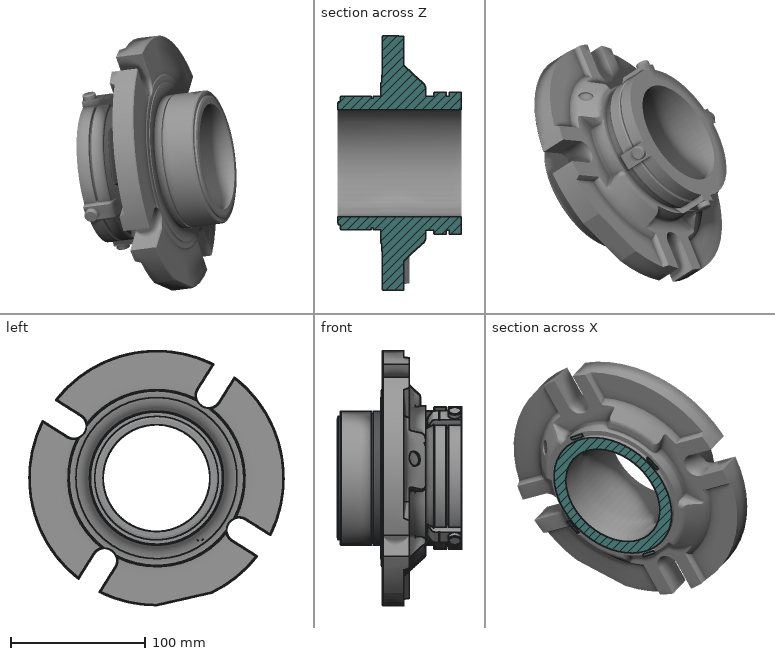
import cadquery as cq
import math

NOSE_START = -33.2
NOSE_SHOULDER = -31.3
NOSE_GROOVE_START = -7.9
NOSE_GROOVE_END = -6.7
SPIGOT_START = -1.1
SPIGOT_STEP = -0.5
FLANGE_BACK = 16.3
PAD_BACK = 20.4
GLAND_BACK = 32.6
FRONT_RING_START = 38.5
RING_GAP_START = 48.1
RING_GAP_END = 49.8
SLEEVE_END = NOSE_START + 92.38

BORE_RADIUS = 79.38 / 2
NOSE_TIP_RADIUS = 92.05 / 2
NOSE_RADIUS = 100 / 2
NOSE_GROOVE_RADIUS = 97.03 / 2
NOSE_NECK_RADIUS = 99.9 / 2
SPIGOT_RADIUS = 120.07 / 2
SPIGOT_STEP_RADIUS = 65
SPIGOT_ROOT_RADIUS = 66
FLANGE_RADIUS = 95
HUB_RADIUS = 54.1
CONE_BASE_RADIUS = 73
CONE_END_RADIUS = 58
SLEEVE_RADIUS = 100.33 / 2
RING_RADIUS = 106.2 / 2
NOSE_CHAMFER = 0.8
NOSE_TIP_BEVEL_LENGTH = 0.5
NOSE_TIP_BEVEL_DEPTH = 2
FLANGE_CHAMFER = 0.7
RING_CHAMFER = 0.7

SLOT_COUNT = 4
SLOT_TURN = 32.2
SLOT_WIDTH = 18.2
SLOT_CENTRE_RADIUS = 72.6
SLOT_CHAMFER = 0.7
CHAMFER_ANGLE = 45
PAD_WIDTH_BACK = 41.6
PAD_WIDTH_BASE = 45.6

LUG_TURN = SLOT_TURN - 180 / SLOT_COUNT
LUG_WIDTH = 43
LUG_END_FILLET = 4
FOOT_FILLET = 1.5
SHORT_LUG_BACK = 28.7
PORT_DIAMETER = 11
PORT_DEPTH = 1.5
PORT_X = 24.3

FLAT_SPAN = 25.7

CLIP_TURNS = (34.8, 139.7, 214.8, 319.7)
CLIP_WIDTH = 12
CLIP_OFFSET = 0.5
CLIP_RADIUS = 57.3
CLIP_SEAT_RADIUS = 49
CLIP_TOE_X = 33
CLIP_TOE_RADIUS = 49.6
CLIP_SHOULDER_X = 38
CLIP_SHOULDER_FILLET = 2
CLIP_GROOVE_X = 42.5
CLIP_GROOVE_WIDTH = 0.8
CLIP_GROOVE_DEPTH = 0.4
SCREW_DIAMETER = 10
SCREW_TOP_RADIUS = 61.3
SCREW_CHAMFER = 0.6

REACH = 2 * FLANGE_RADIUS


def turned(points):
    """Revolve an outline of (x, radius) points about the X axis."""
    return cq.Workplane("XY").polyline(points).close().revolve(360, (0, 0, 0), (1, 0, 0))


def turn_about_axis(shape, angle):
    """Turn a shape standing at +Z about the X axis; positive angles lean towards -Y."""
    return shape.rotate((0, 0, 0), (1, 0, 0), angle)


def cylinder(start, end, radius):
    return cq.Workplane("YZ", origin=(start, 0, 0)).circle(radius).extrude(end - start)


def make_nose():
    return turned([
        (NOSE_START, 0),
        (NOSE_START, NOSE_TIP_RADIUS - NOSE_TIP_BEVEL_DEPTH),
        (NOSE_START + NOSE_TIP_BEVEL_LENGTH, NOSE_TIP_RADIUS),
        (NOSE_SHOULDER, NOSE_TIP_RADIUS),
        (NOSE_SHOULDER, NOSE_RADIUS - NOSE_CHAMFER),
        (NOSE_SHOULDER + NOSE_CHAMFER, NOSE_RADIUS),
        (NOSE_GROOVE_START, NOSE_RADIUS),
        (NOSE_GROOVE_START, NOSE_GROOVE_RADIUS),
        (NOSE_GROOVE_END, NOSE_GROOVE_RADIUS),
        (NOSE_GROOVE_END, NOSE_NECK_RADIUS),
        (SPIGOT_START, NOSE_NECK_RADIUS),
        (SPIGOT_START, SPIGOT_RADIUS),
        (SPIGOT_STEP, SPIGOT_RADIUS),
        (SPIGOT_STEP, SPIGOT_STEP_RADIUS),
        (0, SPIGOT_ROOT_RADIUS),
        (0, 0),
    ])


def make_flange_disc(thickness):
    disc = cylinder(0, thickness, FLANGE_RADIUS)
    flat_distance = FLANGE_RADIUS * math.cos(math.radians(FLAT_SPAN / 2))
    beyond_flat = cq.Workplane("XY").box(REACH, REACH, REACH).translate((0, 0, flat_distance + REACH / 2))
    disc = disc.cut(turn_about_axis(beyond_flat, 180 - FLAT_SPAN / 2))
    return disc.faces("<X").chamfer(FLANGE_CHAMFER)


def make_pads():
    """Tapered pads that run out to the flange rim around each slot."""
    rim = make_flange_disc(PAD_BACK)
    bar = (
        cq.Workplane("XY")
        .polyline([
            (FLANGE_BACK, -PAD_WIDTH_BASE / 2),
            (PAD_BACK, -PAD_WIDTH_BACK / 2),
            (PAD_BACK, PAD_WIDTH_BACK / 2),
            (FLANGE_BACK, PAD_WIDTH_BASE / 2),
        ])
        .close()
        .extrude(REACH)
    )
    pads = cq.Workplane("XY")
    for index in range(SLOT_COUNT):
        pads = pads.add(turn_about_axis(bar, SLOT_TURN + index * 360 / SLOT_COUNT))
    return pads.combine().intersect(rim)


def cone_radius(x):
    slope = (CONE_END_RADIUS - CONE_BASE_RADIUS) / (GLAND_BACK - FLANGE_BACK)
    return CONE_BASE_RADIUS + slope * (x - FLANGE_BACK)


def make_cone(start, end):
    """Section of the conical back between two X stations, solid to the axis."""
    return turned([(start, 0), (start, cone_radius(start)), (end, cone_radius(end)), (end, 0)])


def make_pocket():
    """Space between two neighbouring lugs, with rounded corners at the hub, lugs and floor."""
    quadrant = (
        cq.Workplane("YZ", origin=(PAD_BACK, 0, 0))
        .moveTo(LUG_WIDTH / 2, LUG_WIDTH / 2)
        .rect(REACH, REACH, centered=False)
        .extrude(GLAND_BACK)
    )
    pocket = quadrant.cut(cylinder(0, 2 * GLAND_BACK, HUB_RADIUS))
    return pocket.edges("|X").fillet(FOOT_FILLET).faces("<X").edges().fillet(FOOT_FILLET)


def make_lug(back):
    """Parallel-sided lug at +Z, rounded where it meets its end face."""
    bar = (
        cq.Workplane("XY", origin=((FLANGE_BACK + back) / 2, 0, 0))
        .rect(back - FLANGE_BACK, LUG_WIDTH)
        .extrude(REACH)
    )
    lug = bar.intersect(make_cone(FLANGE_BACK, GLAND_BACK))
    return lug.faces(">X").edges("not <Z").fillet(LUG_END_FILLET)


def make_conical_back():
    """Conical base ring carrying four lugs around the hub, with pockets between them."""
    foot = make_cone(FLANGE_BACK, SHORT_LUG_BACK - LUG_END_FILLET)
    pocket = make_pocket()
    for index in range(SLOT_COUNT):
        foot = foot.cut(turn_about_axis(pocket, LUG_TURN + index * 360 / SLOT_COUNT))
    back = foot.union(cylinder(0, GLAND_BACK, HUB_RADIUS))
    for index in range(SLOT_COUNT):
        lug = make_lug(SHORT_LUG_BACK if index == 0 else GLAND_BACK)
        back = back.union(turn_about_axis(lug, LUG_TURN + index * 360 / SLOT_COUNT))
    return back


def make_port():
    """Shallow round recess square to the cone, on the lug facing -Y."""
    normal_x = CONE_BASE_RADIUS - CONE_END_RADIUS
    normal_z = GLAND_BACK - FLANGE_BACK
    mouth = cq.Plane(
        origin=(PORT_X, 0, cone_radius(PORT_X)), xDir=(0, 1, 0), normal=(normal_x, 0, normal_z)
    )
    port = cq.Workplane(mouth).circle(PORT_DIAMETER / 2).extrude(PORT_DEPTH, both=True)
    return turn_about_axis(port, LUG_TURN + 360 / SLOT_COUNT)


def slot_outline(start, half_width):
    """Outline at +Z of a round-ended slot that is open at the rim."""
    return (
        cq.Workplane("YZ", origin=(start, 0, 0))
        .moveTo(half_width, REACH)
        .lineTo(half_width, SLOT_CENTRE_RADIUS)
        .threePointArc((0, SLOT_CENTRE_RADIUS - half_width), (-half_width, SLOT_CENTRE_RADIUS))
        .lineTo(-half_width, REACH)
        .close()
    )


def make_slot():
    """Slot through spigot, flange and pads, chamfered on the flange face outside the spigot."""
    slot = slot_outline(SPIGOT_START, SLOT_WIDTH / 2).extrude(GLAND_BACK - SPIGOT_START)
    chamfer = slot_outline(0, SLOT_WIDTH / 2 + SLOT_CHAMFER).extrude(SLOT_CHAMFER, taper=CHAMFER_ANGLE)
    return slot.union(chamfer.cut(cylinder(0, SLOT_CHAMFER, SPIGOT_ROOT_RADIUS)))


def make_sleeve_and_rings():
    sleeve = cylinder(0, SLEEVE_END, SLEEVE_RADIUS)
    front_ring = cylinder(FRONT_RING_START, RING_GAP_START, RING_RADIUS).edges().chamfer(RING_CHAMFER)
    rear_ring = cylinder(RING_GAP_END, SLEEVE_END, RING_RADIUS)
    return sleeve.union(front_ring).union(rear_ring)


def make_clip():
    """Setting clip at +Z with a sloping toe, a cross groove and a round-headed screw."""
    clip = (
        cq.Workplane("XZ", origin=(0, -CLIP_OFFSET, 0))
        .polyline([
            (CLIP_TOE_X, CLIP_TOE_RADIUS),
            (CLIP_SHOULDER_X, CLIP_RADIUS),
            (SLEEVE_END, CLIP_RADIUS),
            (SLEEVE_END, CLIP_SEAT_RADIUS),
            (FRONT_RING_START + RING_CHAMFER, CLIP_SEAT_RADIUS),
            (FRONT_RING_START, RING_RADIUS),
        ])
        .close()
        .extrude(CLIP_WIDTH / 2, both=True)
    )
    clip = clip.faces(">Z").edges("<X").fillet(CLIP_SHOULDER_FILLET)
    groove = (
        cq.Workplane("XY", origin=(CLIP_GROOVE_X, 0, CLIP_RADIUS))
        .box(CLIP_GROOVE_WIDTH, 2 * CLIP_WIDTH, 2 * CLIP_GROOVE_DEPTH)
    )
    clip = clip.cut(groove)
    head = (
        cq.Workplane("XY", origin=(SLEEVE_END - SCREW_DIAMETER / 2, 0, CLIP_SEAT_RADIUS))
        .circle(SCREW_DIAMETER / 2)
        .extrude(SCREW_TOP_RADIUS - CLIP_SEAT_RADIUS)
        .faces(">Z")
        .chamfer(SCREW_CHAMFER)
    )
    return clip.union(head)


def make_part():
    part = make_flange_disc(FLANGE_BACK).union(make_pads()).union(make_conical_back())
    part = part.cut(make_port()).union(make_nose())
    slot = make_slot()
    for index in range(SLOT_COUNT):
        part = part.cut(turn_about_axis(slot, SLOT_TURN + index * 360 / SLOT_COUNT))
    part = part.union(make_sleeve_and_rings())
    clip = make_clip()
    for turn in CLIP_TURNS:
        part = part.union(turn_about_axis(clip, turn))
    return part.cut(cylinder(NOSE_START, SLEEVE_END, BORE_RADIUS))


result = make_part()